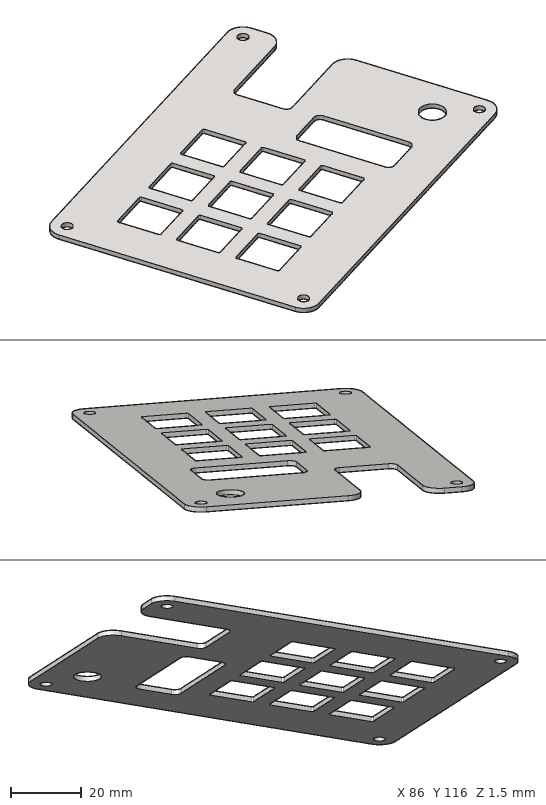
import cadquery as cq

plate_width = 86.0
plate_length = 116.0
plate_thickness = 1.5
corner_radius = 5.0

mount_hole_diameter = 3.4
mount_hole_spacing_x = plate_width - 2 * corner_radius
mount_hole_spacing_y = plate_length - 2 * corner_radius

notch_width = 18.6
notch_depth = 31.0
notch_center_x = -18.6
notch_inner_radius = 2.0

round_hole_diameter = 8.0
round_hole_center = (26.9, 45.5)

window_width = 31.3
window_length = 14.0
window_center = (14.2, 22.3)
window_radius = 2.0

keys_per_side = 3
key_size = 13.9
key_pitch = 19.0
key_radius = 0.5
key_grid_center = (-0.6, -18.5)


def rounded_opening(width, length, radius, center):
    """Cutter through the plate: a rectangle with rounded corners."""
    return (
        cq.Workplane("XY")
        .center(*center)
        .rect(width, length)
        .extrude(plate_thickness)
        .edges("|Z")
        .fillet(radius)
    )


def make_plate():
    """Plate with rounded corners and a notch open to the back edge."""
    back_y = plate_length / 2
    notch = (
        cq.Workplane("XY")
        .center(notch_center_x, back_y - notch_depth / 2)
        .rect(notch_width, notch_depth)
        .extrude(plate_thickness)
        .edges("|Z and <Y")
        .fillet(notch_inner_radius)
    )
    plate = (
        cq.Workplane("XY")
        .rect(plate_width, plate_length)
        .extrude(plate_thickness)
        .cut(notch)
    )
    for side in ("<Y", ">Y"):
        plate = plate.faces(side).edges("|Z").fillet(corner_radius)
    return plate


def cut_round_holes(plate):
    """Four mounting holes and the single larger hole."""
    return (
        plate.faces(">Z")
        .workplane(origin=(0, 0, plate_thickness))
        .rarray(mount_hole_spacing_x, mount_hole_spacing_y, 2, 2)
        .hole(mount_hole_diameter)
        .faces(">Z")
        .workplane(origin=(0, 0, plate_thickness))
        .pushPoints([round_hole_center])
        .hole(round_hole_diameter)
    )


def cut_keys(plate):
    """Square key openings on an even grid."""
    middle = (keys_per_side - 1) / 2
    for column in range(keys_per_side):
        for row in range(keys_per_side):
            center = (
                key_grid_center[0] + (column - middle) * key_pitch,
                key_grid_center[1] + (row - middle) * key_pitch,
            )
            plate = plate.cut(rounded_opening(key_size, key_size, key_radius, center))
    return plate


plate = cut_round_holes(make_plate())
plate = plate.cut(rounded_opening(window_width, window_length, window_radius, window_center))
result = cut_keys(plate)